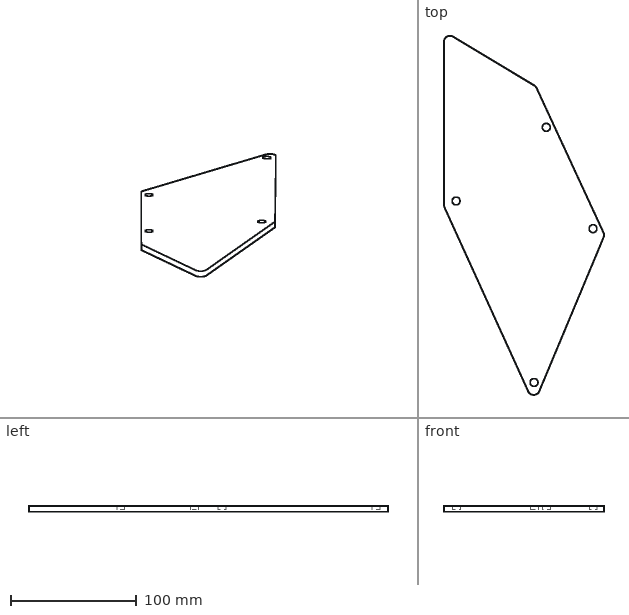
import cadquery as cq

width = 127.5
length = 286.0
thickness = 5.0

corner_radius = 5.0
hole_diameter = 6.3
hole_depth = 3.0

corner_centers = [
    (corner_radius, length - corner_radius),
    (69.5, 242.4),
    (width - corner_radius, 127.3),
    (71.5, corner_radius),
    (corner_radius, 151.5),
]

hole_centers = [
    (9.7, 154.5),
    (81.5, 213.2),
    (118.7, 132.5),
    (71.8, 10.0),
]


def make_plate():
    """Offset the polygon of arc centres outward to get straight sides and round corners."""
    return cq.Workplane("XY").polyline(corner_centers).close().offset2D(corner_radius, "arc").extrude(thickness)


def drill_holes(plate):
    """Cut the round holes as flat-bottomed blind holes from the top face."""
    top_plane = cq.Workplane("XY").workplane(offset=thickness)
    cutters = top_plane.pushPoints(hole_centers).circle(hole_diameter / 2).extrude(-hole_depth)
    return plate.cut(cutters)


result = drill_holes(make_plate())